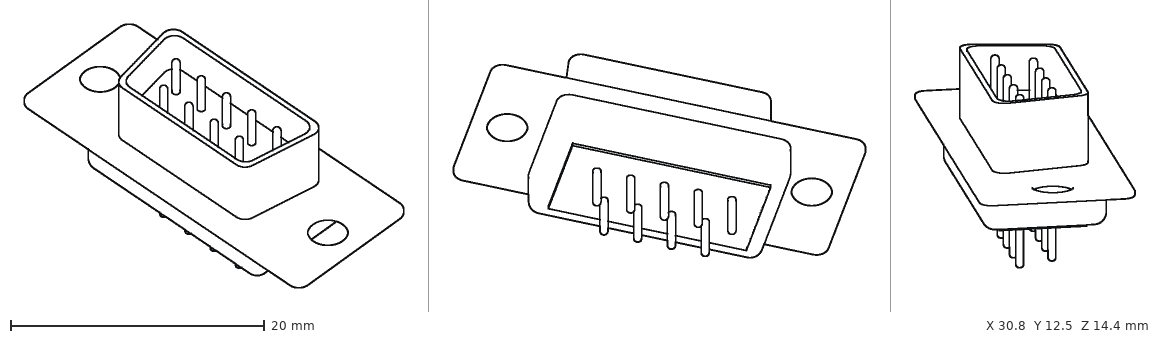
import cadquery as cq
import math

FLANGE_LENGTH = 30.8
FLANGE_WIDTH = 12.5
FLANGE_THICKNESS = 0.5
FLANGE_CORNER_RADIUS = 1.02
FLANGE_EDGE_ROUND = 0.12
MOUNT_HOLE_DIAMETER = 3.2
MOUNT_HOLE_SPACING = 25.0

SHROUD_HEIGHT = 5.75
SHROUD_WIDTH = 7.85
SHROUD_MID_LENGTH = 15.55
SHROUD_SIDE_ANGLE = 10.0
SHROUD_CORNER_RADIUS = 1.0
SHROUD_WALL = 0.45

BACK_LENGTH = 19.2
BACK_WIDTH = 9.98
BACK_DEPTH = 3.97
BACK_RADIUS = 1.02

INSERT_LENGTH = 16.25
INSERT_WIDTH = 7.0
INSERT_PROTRUSION = 0.28
SOCKET_DEPTH = 3.65

PIN_DIAMETER = 0.65
PIN_TIP_ROUND = 0.28
PIN_PITCH = 2.77
PIN_ROW_SPACING = 2.83
PIN_TAIL_LENGTH = 3.9
PIN_TOP_BELOW_RIM = 0.2
LONG_ROW_COUNT = 5
SHORT_ROW_COUNT = LONG_ROW_COUNT - 1

RIM_Z = FLANGE_THICKNESS + SHROUD_HEIGHT
SOCKET_FLOOR_Z = RIM_Z - SOCKET_DEPTH
INSERT_BOTTOM_Z = -BACK_DEPTH - INSERT_PROTRUSION
PIN_TOP_Z = RIM_Z - PIN_TOP_BELOW_RIM
PIN_BOTTOM_Z = INSERT_BOTTOM_Z - PIN_TAIL_LENGTH


def d_prism(inset, bottom_z, top_z):
    """Upright D-shaped prism, its faces moved inward by the inset; the long side is at +Y."""
    angle = math.radians(SHROUD_SIDE_ANGLE)
    half_width = SHROUD_WIDTH / 2 - inset
    half_mid = SHROUD_MID_LENGTH / 2 - inset / math.cos(angle)
    taper = half_width * math.tan(angle)
    outline = [
        (-half_mid - taper, half_width),
        (half_mid + taper, half_width),
        (half_mid - taper, -half_width),
        (-half_mid + taper, -half_width),
    ]
    prism = cq.Workplane("XY").workplane(offset=bottom_z).polyline(outline).close().extrude(top_z - bottom_z)
    return prism.edges("|Z").fillet(SHROUD_CORNER_RADIUS)


def insert_block():
    """Rectangular block below the flange, also the shape of the recess it sits in."""
    block = cq.Workplane("XY").workplane(offset=INSERT_BOTTOM_Z).rect(INSERT_LENGTH, INSERT_WIDTH)
    return block.extrude(-INSERT_BOTTOM_Z)


def make_flange():
    flange = cq.Workplane("XY").rect(FLANGE_LENGTH, FLANGE_WIDTH).extrude(FLANGE_THICKNESS)
    flange = flange.edges("|Z").fillet(FLANGE_CORNER_RADIUS)
    half_spacing = MOUNT_HOLE_SPACING / 2
    flange = (
        flange.faces(">Z").workplane(origin=(0, 0, 0))
        .pushPoints([(-half_spacing, 0), (half_spacing, 0)])
        .hole(MOUNT_HOLE_DIAMETER)
    )
    return flange.faces("<Z or >Z").edges().fillet(FLANGE_EDGE_ROUND)


def make_back_shell():
    back = cq.Workplane("XY").rect(BACK_LENGTH, BACK_WIDTH).extrude(-BACK_DEPTH)
    return back.edges("|Z or <Z").fillet(BACK_RADIUS)


def make_shell():
    shell = make_flange().union(make_back_shell()).union(d_prism(0, 0, RIM_Z))
    shell = shell.cut(d_prism(SHROUD_WALL, 0, RIM_Z))
    return shell.cut(insert_block())


def make_pin(x, y):
    pin = cq.Workplane("XY").workplane(offset=PIN_BOTTOM_Z).center(x, y).circle(PIN_DIAMETER / 2)
    return pin.extrude(PIN_TOP_Z - PIN_BOTTOM_Z).faces("<Z or >Z").edges().fillet(PIN_TIP_ROUND)


def make_contact_insert():
    """Insert with its pins moulded in, all one solid."""
    body = insert_block().union(d_prism(SHROUD_WALL, 0, SOCKET_FLOOR_Z))
    for count, y in ((LONG_ROW_COUNT, PIN_ROW_SPACING / 2), (SHORT_ROW_COUNT, -PIN_ROW_SPACING / 2)):
        for index in range(count):
            x = (index - (count - 1) / 2) * PIN_PITCH
            body = body.union(make_pin(x, y))
    return body


shell = make_shell()
contact_insert = make_contact_insert()
result = cq.Compound.makeCompound([shell.val(), contact_insert.val()])